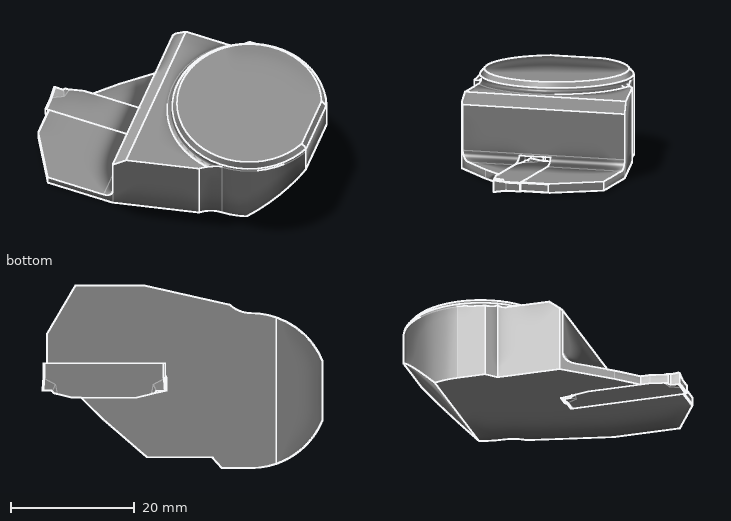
import cadquery as cq
import math


body_radius = 12.55
head_radius = 12.45
head_top_radius = 11.7
head_top = 14.0
head_chamfer_bottom = 13.15
neck_fillet = 0.85
flat_x = 11.6
flat_chamfer = 0.8

block_top = 12.27
wall_x = -17.2
wall_chamfer_width = 2.15
wall_chamfer_height = 1.7
underside_slope_start = 4.05
blade_thickness = 1.5
blade_fillet = 1.6
blade_front = -33.05
blade_front_chamfer = 0.12
holder_front_y = -17.0
holder_back_y = 10.8
blade_front_corner_y = -9.1
blade_side_corner_x = -28.4
blade_back_corner = (-24.1, 4.5)
block_back_corner_x = -16.8
shoulder_start_x = -6.3
shoulder_end_x = -4.7
blend_radius = 5.0
blend_angle = math.radians(43)

insert_middle_x = -23.75
insert_half_length = 9.85
insert_tip_half_length = 10.0
insert_front_y = -4.43
insert_back_y = 1.13
insert_middle_z = blade_thickness / 2
tip_half_thickness = 1.07
tip_base_y = -2.05
end_bevel_width = 0.25
end_bevel_height = 0.12
heel_step = 0.15

front_corner = (insert_half_length, insert_front_y)
tip_base_corner = (insert_half_length, tip_base_y)
cutting_corner = (insert_tip_half_length, 0)
tip_back_corner = (8.5, 0)
shoulder_corner = (8.15, 0.43)
back_corner = (5.3, insert_back_y)

rake_inner_corner = (7.9, -1.03)
heel_corner = (7.6, 0.48)

seat_top = 2.72
seat_clearance = 0.15
seat_recess_ramp = 0.45


def blend_point(angle):
    """Point on the concave arc that leaves the round body tangentially at its -Y side."""
    return (
        -blend_radius * math.sin(angle),
        -body_radius - blend_radius * (1 - math.cos(angle)),
    )


def holder_outline():
    """Plan outline of the whole holder, from the blade to the flat on the round head."""
    flat_half_width = math.sqrt(body_radius**2 - flat_x**2)
    quarter = body_radius * math.sqrt(0.5)
    return (
        cq.Workplane("XY")
        .moveTo(blade_front, insert_front_y)
        .lineTo(blade_front, blade_front_corner_y)
        .lineTo(blade_side_corner_x, holder_front_y)
        .lineTo(wall_x, holder_front_y)
        .lineTo(*blend_point(blend_angle))
        .threePointArc(blend_point(blend_angle / 2), (0, -body_radius))
        .threePointArc((quarter, -quarter), (flat_x, -flat_half_width))
        .lineTo(flat_x, flat_half_width)
        .threePointArc((quarter, quarter), (0, body_radius))
        .lineTo(shoulder_end_x, body_radius)
        .lineTo(shoulder_start_x, holder_back_y)
        .lineTo(block_back_corner_x, holder_back_y)
        .lineTo(*blade_back_corner)
        .close()
    )


def block_and_blade():
    """Side profile of the block and blade, run across the full width."""
    half_width = 2 * body_radius
    arc_offset = blade_fillet * (1 - math.sqrt(0.5))
    chamfer = blade_front_chamfer
    return (
        cq.Workplane("XZ", origin=(0, half_width, 0))
        .moveTo(blade_front + chamfer, 0)
        .lineTo(underside_slope_start, 0)
        .lineTo(flat_x, flat_x - underside_slope_start)
        .lineTo(flat_x, block_top)
        .lineTo(wall_x + wall_chamfer_width, block_top)
        .lineTo(wall_x, block_top - wall_chamfer_height)
        .lineTo(wall_x, blade_thickness + blade_fillet)
        .threePointArc(
            (wall_x - arc_offset, blade_thickness + arc_offset),
            (wall_x - blade_fillet, blade_thickness),
        )
        .lineTo(blade_front + chamfer, blade_thickness)
        .lineTo(blade_front, blade_thickness - chamfer)
        .lineTo(blade_front, chamfer)
        .close()
        .extrude(2 * half_width)
    )


def round_head():
    """Chamfered disc that flares into the block through a concave fillet."""
    arc_offset = neck_fillet * (1 - math.sqrt(0.5))
    head_base = block_top - neck_fillet
    head = (
        cq.Workplane("XZ")
        .moveTo(0, head_base)
        .lineTo(head_radius + neck_fillet, head_base)
        .lineTo(head_radius + neck_fillet, block_top)
        .threePointArc(
            (head_radius + arc_offset, block_top + arc_offset),
            (head_radius, block_top + neck_fillet),
        )
        .lineTo(head_radius, head_chamfer_bottom)
        .lineTo(head_top_radius, head_top)
        .lineTo(0, head_top)
        .close()
        .revolve(360, (0, 0, 0), (0, 1, 0))
    )
    flat_bevel = (
        cq.Workplane("XZ", origin=(0, body_radius, 0))
        .moveTo(flat_x - flat_chamfer, head_top)
        .lineTo(flat_x, head_chamfer_bottom)
        .lineTo(2 * flat_x, head_chamfer_bottom)
        .lineTo(2 * flat_x, head_top)
        .close()
        .extrude(2 * body_radius)
    )
    return head.cut(flat_bevel)


def at_near_end(corner):
    """Place at the -X end of a corner given by its distance from the insert middle and its Y."""
    return (insert_middle_x - corner[0], corner[1])


def at_far_end(corner):
    """Place at the +X end of a corner given by its distance from the insert middle and its Y."""
    return (insert_middle_x + corner[0], corner[1])


def holder_seat():
    """Slot for the insert, open below, with clearance behind the cutting tip under the block."""
    end_x = insert_middle_x + insert_half_length
    recess_x = insert_middle_x + insert_tip_half_length + seat_clearance
    open_end_x = insert_middle_x - insert_tip_half_length
    outline = [
        (open_end_x, insert_front_y),
        (end_x, insert_front_y),
        (end_x, tip_base_y - seat_recess_ramp),
        (recess_x, tip_base_y),
        (recess_x, 0),
        at_far_end(shoulder_corner),
        at_far_end(back_corner),
        at_near_end(back_corner),
        (open_end_x, insert_back_y),
    ]
    return cq.Workplane("XY").polyline(outline).close().extrude(seat_top)


def space_above(a, b, c):
    """Large block on the upper side of the plane through three points."""
    a, b, c = cq.Vector(*a), cq.Vector(*b), cq.Vector(*c)
    normal = (b - a).cross(c - a)
    if normal.z < 0:
        normal = normal * -1
    size = 20.0
    return cq.Workplane(cq.Plane(a, b - a, normal)).rect(size, size).extrude(size)


def cutting_tip():
    """Tip at the -X end, thickest at its cutting corner and thinning inward on both faces."""
    face_z = blade_thickness
    tip_top = insert_middle_z + tip_half_thickness
    cutting_point = at_near_end(cutting_corner)
    base_point = at_near_end(tip_base_corner)
    inner_point = at_near_end(rake_inner_corner)
    heel_point = at_near_end(heel_corner)
    shoulder_point = at_near_end(shoulder_corner)
    outline = [
        cutting_point,
        at_near_end(tip_back_corner),
        shoulder_point,
        heel_point,
        inner_point,
        base_point,
    ]
    upper_half = (
        cq.Workplane("XY", origin=(0, 0, insert_middle_z))
        .polyline(outline)
        .close()
        .extrude(tip_half_thickness)
    )
    rake_face = space_above((*cutting_point, tip_top), (*base_point, face_z), (*inner_point, face_z))
    heel_face = space_above(
        (*inner_point, face_z),
        (*heel_point, face_z),
        (*shoulder_point, face_z + heel_step),
    )
    edge_bevel = space_above(
        (*cutting_point, tip_top - end_bevel_height),
        (*base_point, face_z - end_bevel_height),
        (base_point[0] + end_bevel_width, tip_base_y, face_z),
    )
    upper_half = upper_half.cut(rake_face).cut(heel_face).cut(edge_bevel)
    lower_half = upper_half.mirror("XY", (0, 0, insert_middle_z))
    return upper_half.union(lower_half)


def end_bevel():
    """Wedges that bevel the upper and lower end edges beside the cutting tip at the -X end."""
    end_x = insert_middle_x - insert_half_length
    upper_wedge = (
        cq.Workplane("XZ", origin=(0, tip_base_y, 0))
        .moveTo(end_x, blade_thickness)
        .lineTo(end_x + end_bevel_width, blade_thickness)
        .lineTo(end_x, blade_thickness - end_bevel_height)
        .close()
        .extrude(tip_base_y - insert_front_y)
    )
    return upper_wedge.add(upper_wedge.mirror("XY", (0, 0, insert_middle_z))).combine()


def mirrored_to_far_end(shape):
    """Copy of a feature of the -X insert end, placed at the +X end."""
    return shape.mirror("YZ", (insert_middle_x, 0, 0))


def double_ended_insert():
    """Flat insert with the same cutting tip at each end."""
    end_corners = [
        front_corner,
        tip_base_corner,
        cutting_corner,
        tip_back_corner,
        shoulder_corner,
        back_corner,
    ]
    near_end = [at_near_end(corner) for corner in end_corners]
    far_end = [at_far_end(corner) for corner in reversed(end_corners)]
    plate = (
        cq.Workplane("XY")
        .polyline(near_end + far_end)
        .close()
        .extrude(blade_thickness)
    )
    bevel = end_bevel()
    tip = cutting_tip()
    plate = plate.cut(bevel).cut(mirrored_to_far_end(bevel))
    return plate.union(tip).union(mirrored_to_far_end(tip))


holder_form = block_and_blade().union(round_head())
holder = holder_outline().extrude(head_top).intersect(holder_form).cut(holder_seat())
insert = double_ended_insert()

result = cq.Compound.makeCompound([*holder.solids().vals(), *insert.solids().vals()])